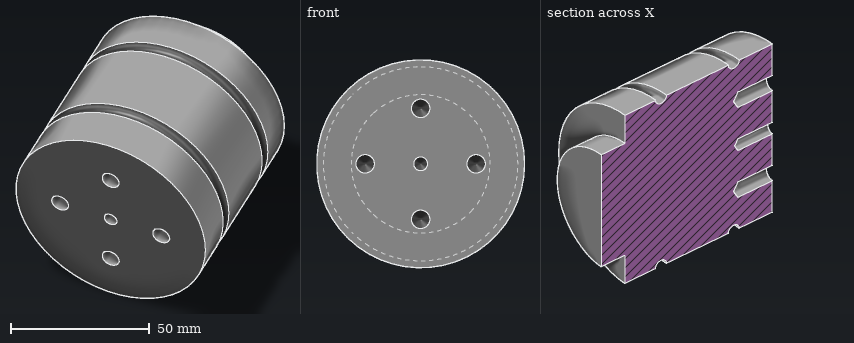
import cadquery as cq
import math

overall_length = 80.0
body_diameter = 75.0
body_length = 69.0
spigot_diameter = 50.0

groove_width = 5.0
groove_depth = groove_width / 2
groove_centers = [18.0, 52.0]

center_hole_diameter = 5.0
outer_hole_diameter = 6.6
outer_hole_count = 4
outer_hole_circle_radius = 20.0
hole_depth = 16.0
drill_point_angle = 118.0

body_radius = body_diameter / 2


def cylinder(diameter, start, end):
    """Solid cylinder on the Y axis between two positions."""
    disc = cq.Workplane("XZ", origin=(0, start, 0)).circle(diameter / 2)
    return disc.extrude(start - end)


def groove_ring(center):
    """Ring of round section that cuts one groove into the body."""
    profile = cq.Workplane("XY").center(body_radius, center).circle(groove_depth)
    return profile.revolve(360, (-body_radius, 0, 0), (-body_radius, 1, 0))


def drilled_hole(diameter, x, z):
    """Blind hole along +Y from the front face, ending in a drill point."""
    radius = diameter / 2
    point_depth = radius / math.tan(math.radians(drill_point_angle / 2))
    half_section = (
        cq.Workplane("XY")
        .lineTo(radius, 0)
        .lineTo(radius, hole_depth)
        .lineTo(0, hole_depth + point_depth)
        .close()
    )
    return half_section.revolve(360, (0, 0, 0), (0, 1, 0)).translate((x, 0, z))


result = cylinder(body_diameter, 0, body_length)
result = result.union(cylinder(spigot_diameter, body_length, overall_length))

for groove_center in groove_centers:
    result = result.cut(groove_ring(groove_center))

result = result.cut(drilled_hole(center_hole_diameter, 0, 0))
for index in range(outer_hole_count):
    angle = 2 * math.pi * index / outer_hole_count
    hole_x = outer_hole_circle_radius * math.cos(angle)
    hole_z = outer_hole_circle_radius * math.sin(angle)
    result = result.cut(drilled_hole(outer_hole_diameter, hole_x, hole_z))